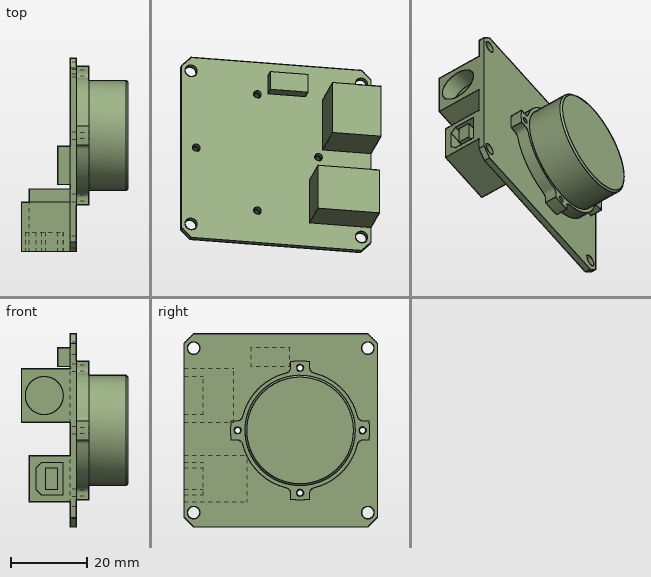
import cadquery as cq

board_size = 50.8
board_thickness = 1.6
board_corner_chamfer = 2.54
board_hole_diameter = 3.2
board_hole_spacing_y = 45.72
board_hole_spacing_z = 43.18
board_edge_y = -board_size / 2

lens_center_y = 5.08
flange_radius = 15.5
flange_thickness = 3.3
ear_tip_radius = 18.25
ear_width = 5.0
ear_root_fillet = 1.5
ear_count = 4
ear_hole_radius = 16.4
ear_hole_diameter = 1.6
ear_board_hole_diameter = 2.0
barrel_diameter = 29.0
barrel_length = 10.3
barrel_edge_chamfer = 0.5

jack_depth = 12.8
jack_length = 13.0
jack_height = 14.1
jack_center_z = 9.15
jack_bore_diameter = 10.0
jack_bore_offset = 6.8
jack_bore_depth = 5.0

usb_depth = 10.8
usb_length = 16.5
usb_height = 12.1
usb_center_z = -12.7
usb_opening_width = 7.1
usb_opening_height = 8.6
usb_opening_offset = 5.4
usb_opening_chamfer = 1.45
usb_opening_depth = 5.0
usb_tongue_width = 3.15
usb_tongue_height = 5.7
usb_tongue_offset = 4.85

block_depth = 3.3
block_length = 10.1
block_height = 5.0
block_center_y = -2.75
block_center_z = 19.25


def rear_block(depth, length, height, center_y, center_z):
    """Box standing on the rear face of the board and reaching toward -X."""
    return cq.Workplane("XY").box(depth, length, height).translate((-depth / 2, center_y, center_z))


def edge_plane(offset, center_z):
    """Plane on the -Y edge of the board, at the given distance behind its rear face."""
    return cq.Workplane("XZ", origin=(-offset, board_edge_y, center_z))


def make_board():
    return (
        cq.Workplane("YZ")
        .rect(board_size, board_size)
        .extrude(board_thickness)
        .edges("|X")
        .chamfer(board_corner_chamfer)
        .faces(">X")
        .workplane()
        .rect(board_hole_spacing_y, board_hole_spacing_z, forConstruction=True)
        .vertices()
        .hole(board_hole_diameter)
    )


def make_flange():
    plane = cq.Workplane("YZ", origin=(board_thickness, lens_center_y, 0))
    flange = plane.circle(flange_radius).extrude(flange_thickness)
    flange = flange.union(plane.rect(2 * ear_tip_radius, ear_width).extrude(flange_thickness))
    flange = flange.union(plane.rect(ear_width, 2 * ear_tip_radius).extrude(flange_thickness))

    root_edges = cq.selectors.BoxSelector(
        (0, lens_center_y - flange_radius, -flange_radius),
        (board_thickness + flange_thickness, lens_center_y + flange_radius, flange_radius),
    )
    flange = flange.edges("|X").edges(root_edges).fillet(ear_root_fillet)

    return flange.intersect(plane.circle(ear_tip_radius).extrude(flange_thickness))


def make_barrel():
    return (
        cq.Workplane("YZ", origin=(board_thickness + flange_thickness, lens_center_y, 0))
        .circle(barrel_diameter / 2)
        .extrude(barrel_length)
        .faces(">X")
        .chamfer(barrel_edge_chamfer)
    )


def ear_holes(diameter, start_x, depth):
    """Cutters for the screw holes through the ears and the board behind them."""
    return (
        cq.Workplane("YZ", origin=(start_x, lens_center_y, 0))
        .polarArray(ear_hole_radius, 0, 360, ear_count)
        .circle(diameter / 2)
        .extrude(depth)
    )


def make_jack():
    jack = rear_block(jack_depth, jack_length, jack_height, board_edge_y + jack_length / 2, jack_center_z)
    bore = edge_plane(jack_bore_offset, jack_center_z).circle(jack_bore_diameter / 2)
    return jack.cut(bore.extrude(-jack_bore_depth))


def make_usb():
    """USB socket with a tongue that ends flush with the mouth of the opening."""
    socket = rear_block(usb_depth, usb_length, usb_height, board_edge_y + usb_length / 2, usb_center_z)
    opening = (
        edge_plane(usb_opening_offset, usb_center_z)
        .rect(usb_opening_width, usb_opening_height)
        .extrude(-usb_opening_depth)
        .edges("|Y and <X")
        .chamfer(usb_opening_chamfer)
    )
    tongue = (
        edge_plane(usb_tongue_offset, usb_center_z)
        .rect(usb_tongue_width, usb_tongue_height)
        .extrude(-usb_opening_depth)
    )
    return socket.cut(opening).union(tongue)


result = (
    make_board()
    .union(make_flange())
    .union(make_barrel())
    .cut(ear_holes(ear_board_hole_diameter, 0, board_thickness))
    .cut(ear_holes(ear_hole_diameter, board_thickness, flange_thickness))
    .union(make_jack())
    .union(make_usb())
    .union(rear_block(block_depth, block_length, block_height, block_center_y, block_center_z))
)